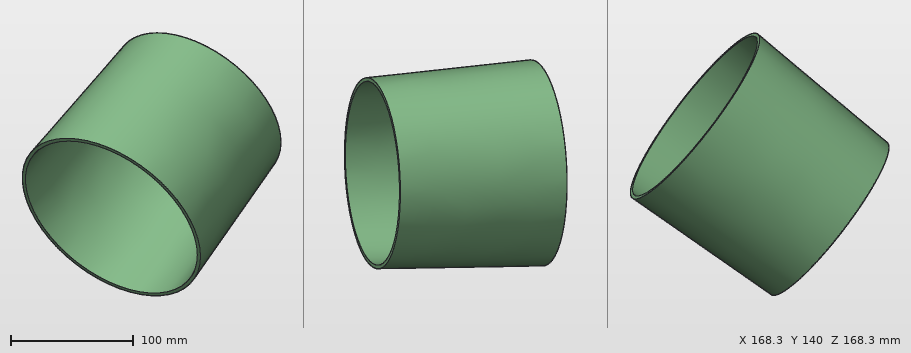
import cadquery as cq

length = 140.0
wide_diameter = 168.3
narrow_diameter = 156.0
wall = 3.0

wide_radius = wide_diameter / 2
narrow_radius = narrow_diameter / 2
wide_end = -length / 2
narrow_end = length / 2

wall_section = (
    cq.Workplane("XY")
    .moveTo(wide_radius - wall, wide_end)
    .lineTo(wide_radius, wide_end)
    .lineTo(narrow_radius, narrow_end)
    .lineTo(narrow_radius - wall, narrow_end)
    .close()
)

result = wall_section.revolve(360, (0, 0, 0), (0, 1, 0))